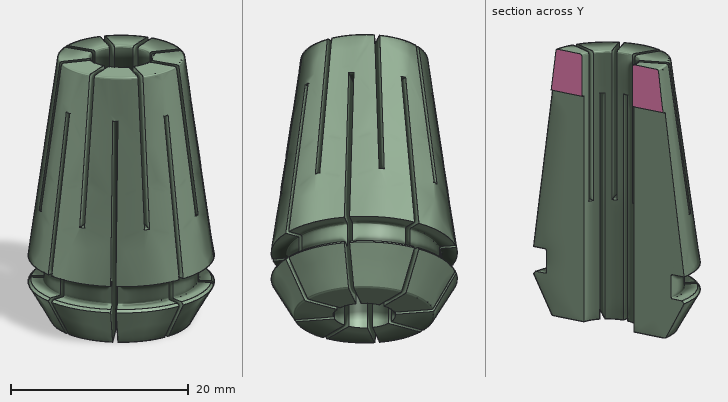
import cadquery as cq
import math

total_height = 31.5
max_radius = 10.5
bore_radius = 3.5
rim_fillet = 0.3

nose_half_angle = 30.0
nose_edge_z = 4.5
nose_top_z = 4.8
nose_top_radius = 10.2

groove_radius = 8.7
groove_top_z = 7.65
groove_root_fillet = 0.2

taper_half_angle = 8.0

slots_per_end = 8
slot_pitch = 360.0 / slots_per_end
slot_width = 0.6
slot_overrun = 1.0
lower_slot_end_z = total_height - 5.0
upper_slot_end_z = 14.0

nose_end_radius = max_radius - nose_edge_z * math.tan(math.radians(nose_half_angle))
top_radius = max_radius - (total_height - groove_top_z) * math.tan(math.radians(taper_half_angle))


def edge_circle(body, radius, z):
    """Circular edge of the body with the given radius and height."""
    tolerance = 0.01
    reach = radius + tolerance
    box = cq.selectors.BoxSelector(
        (-reach, -reach, z - tolerance), (reach, reach, z + tolerance), boundingbox=True
    )
    return body.edges(box).edges(cq.selectors.RadiusNthSelector(-1))


def collet_blank():
    """Revolved collet with its bore, nose, groove and taper, all edges sharp."""
    profile = [
        (bore_radius, 0),
        (nose_end_radius, 0),
        (max_radius, nose_edge_z),
        (nose_top_radius, nose_top_z),
        (groove_radius, nose_top_z),
        (groove_radius, groove_top_z),
        (max_radius, groove_top_z),
        (top_radius, total_height),
        (bore_radius, total_height),
    ]
    return cq.Workplane("XZ").polyline(profile).close().revolve(360, (0, 0), (0, 1))


def round_edges(body):
    """Round the top rim, the bore mouth, the nose end and the groove roots."""
    body = body.faces(">Z").edges().fillet(rim_fillet)
    body = edge_circle(body, nose_end_radius, 0).fillet(rim_fillet)
    for root_z in (nose_top_z, groove_top_z):
        body = edge_circle(body, groove_radius, root_z).fillet(groove_root_fillet)
    return body


def radial_slots(bottom_z, top_z, first_angle):
    """Evenly spaced radial blades, each running from the axis past the outside."""
    blade = cq.Workplane("XY").box(
        max_radius + slot_overrun, slot_width, top_z - bottom_z, centered=(False, True, False)
    )
    blade = blade.translate((0, 0, bottom_z))
    blades = cq.Workplane("XY")
    for index in range(slots_per_end):
        angle = first_angle + index * slot_pitch
        blades = blades.add(blade.rotate((0, 0, 0), (0, 0, 1), angle))
    return blades.combine()


lower_slots = radial_slots(0, lower_slot_end_z, 0)
upper_slots = radial_slots(upper_slot_end_z, total_height, slot_pitch / 2)

result = round_edges(collet_blank()).cut(lower_slots).cut(upper_slots)